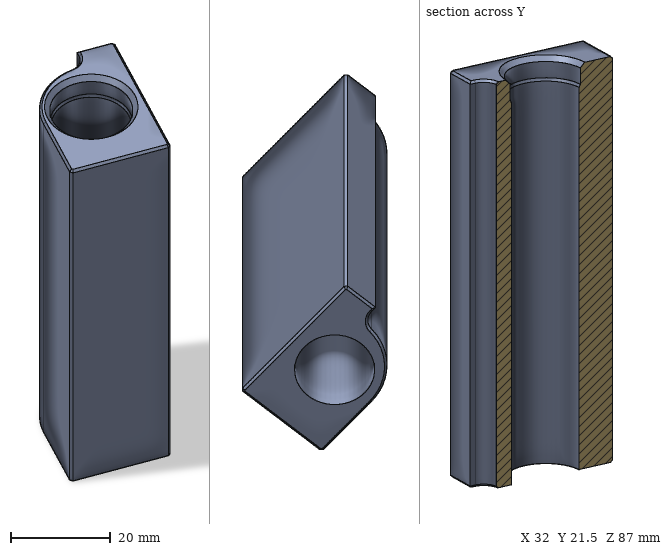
import cadquery as cq
import math

width = 32.0
depth = 21.5
height = 87.0
edge_chamfer = 0.5

lip_depth = 7.9
cove_radius = 3.1
round_radius = 12.7
round_center_x = 16.9

bore_center_y = 10.5
bore_diameter = 16.0
recess_diameter = 16.6
mouth_diameter = 18.7
mouth_depth = (mouth_diameter - recess_diameter) / 2
recess_depth = 4.5
recess_taper = 0.6


def arc_point(center, radius, angle):
    """Point on a circle at an angle in radians."""
    return center[0] + radius * math.cos(angle), center[1] + radius * math.sin(angle)


def make_body():
    """Block with its front-left corner swept away, chamfered at both ends."""
    lip_front = depth - lip_depth
    round_center = (round_center_x, round_radius)
    cove_y = lip_front - cove_radius
    center_distance = round_radius + cove_radius
    tilt = math.asin((round_radius - cove_y) / center_distance)
    cove_center = (round_center_x - center_distance * math.cos(tilt), cove_y)

    cove_start = (cove_center[0], lip_front)
    cove_middle = arc_point(cove_center, cove_radius, (math.pi / 2 + tilt) / 2)
    tangent_point = arc_point(cove_center, cove_radius, tilt)
    round_start_angle = math.pi + tilt
    round_end_angle = 3 * math.pi / 2
    round_middle = arc_point(round_center, round_radius, (round_start_angle + round_end_angle) / 2)

    body = (
        cq.Workplane("XY")
        .moveTo(0, lip_front)
        .lineTo(*cove_start)
        .threePointArc(cove_middle, tangent_point)
        .threePointArc(round_middle, (round_center_x, 0))
        .lineTo(width, 0)
        .lineTo(width, depth)
        .lineTo(0, depth)
        .close()
        .extrude(height)
    )
    back_edges = body.edges("|Z and >Y")
    front_right_edge = body.edges("|Z and >X").edges("<Y")
    body = body.newObject(back_edges.vals() + front_right_edge.vals()).chamfer(edge_chamfer)
    return body.faces("<Z or >Z").edges().chamfer(edge_chamfer)


def make_bore():
    """Through bore with a shallow recess and a conical mouth at the top."""
    bore_radius = bore_diameter / 2
    recess_radius = recess_diameter / 2
    profile = [
        (0, 0),
        (bore_radius, 0),
        (bore_radius, height - recess_depth - recess_taper),
        (recess_radius, height - recess_depth),
        (recess_radius, height - mouth_depth),
        (mouth_diameter / 2, height),
        (0, height),
    ]
    bore = cq.Workplane("XZ").polyline(profile).close().revolve(360, (0, 0, 0), (0, 1, 0))
    return bore.translate((width / 2, bore_center_y, 0))


result = make_body().cut(make_bore())